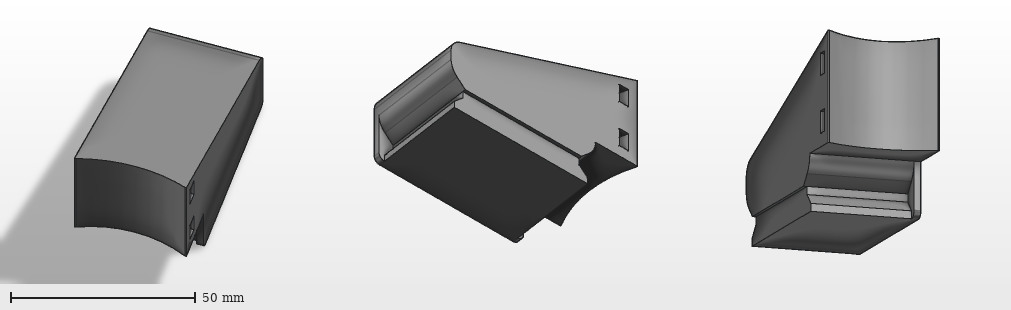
import cadquery as cq
import math

width = 32.0
length = 66.6
height = 46.75
top_slope = 20.0
back_radius = 5.0
overhang_z = 15.6

base_front = 14.9
shoulder_radius = 7.3
neck_inset = 5.05
foot_inset = 2.0
neck_top = 7.5
neck_bottom = 5.25
foot_top = neck_bottom - (neck_inset - foot_inset)
rail_start = 1.0
stop_thickness = 2.0
stop_radius = 2.0

edge_flat = 0.4
concave_depth = 3.4
slot_front = 3.1
slot_back = 6.4
slot_height = 6.2
slot_bottoms = (19.4, 35.4)

half_chord = width / 2 - edge_flat
concave_radius = (half_chord**2 + concave_depth**2) / (2 * concave_depth)
axis_y = concave_depth - concave_radius


def extrude_along_x(profile, start, end):
    """Extrude a (Y, Z) profile between two X positions."""
    return profile.extrude(end - start).translate((start, 0, 0))


def upper_body():
    """Wedge with a rounded back and shoulders curving in to the neck."""
    back_top = height - length * math.tan(math.radians(top_slope))
    diagonal = math.radians(45)
    round_inset = shoulder_radius * (1 - math.cos(diagonal))
    round_end_z = overhang_z - shoulder_radius * math.sin(diagonal)
    mid_inset = shoulder_radius * (1 - math.cos(diagonal / 2))
    mid_z = overhang_z - shoulder_radius * math.sin(diagonal / 2)
    profile = (
        cq.Workplane("YZ")
        .moveTo(0, overhang_z)
        .lineTo(0, height)
        .lineTo(length, back_top)
        .lineTo(length, overhang_z)
        .threePointArc((length - mid_inset, mid_z), (length - round_inset, round_end_z))
        .lineTo(length - neck_inset, neck_top)
        .lineTo(base_front + neck_inset, neck_top)
        .lineTo(base_front + round_inset, round_end_z)
        .threePointArc((base_front + mid_inset, mid_z), (base_front, overhang_z))
        .close()
    )
    body = extrude_along_x(profile, 0, width)
    back_edge = cq.selectors.NearestToPointSelector((width / 2, length, back_top))
    return body.edges(back_edge).fillet(back_radius)


def rail():
    """Narrow neck widening through 45 degree flanks to the foot."""
    profile = cq.Workplane("YZ").polyline([
        (base_front + neck_inset, neck_top),
        (length - neck_inset, neck_top),
        (length - neck_inset, neck_bottom),
        (length - foot_inset, foot_top),
        (length - foot_inset, 0),
        (base_front + foot_inset, 0),
        (base_front + foot_inset, foot_top),
        (base_front + neck_inset, neck_bottom),
    ]).close()
    return extrude_along_x(profile, rail_start, width)


def end_stop():
    """Plate closing the right end of the rail, rounded at its lower corners."""
    return (
        cq.Workplane("XY")
        .box(stop_thickness, length - base_front, overhang_z, centered=False)
        .edges("|X and <Z")
        .fillet(stop_radius)
        .translate((width - stop_thickness, base_front, 0))
    )


def upright_cylinder(radius, bottom, cylinder_height):
    """Cylinder on the vertical axis of the concave front."""
    return (
        cq.Workplane("XY", origin=(width / 2, axis_y, bottom))
        .circle(radius)
        .extrude(cylinder_height)
    )


def strap_channel(bottom):
    """Through channel curving concentrically behind the concave front."""
    inner_radius = math.hypot(width / 2, slot_front - axis_y)
    outer_radius = math.hypot(width / 2, slot_back - axis_y)
    outer = upright_cylinder(outer_radius, bottom, slot_height)
    return outer.cut(upright_cylinder(inner_radius, bottom, slot_height))


result = upper_body().union(rail()).union(end_stop())
result = result.cut(upright_cylinder(concave_radius, 0, height))
for slot_bottom in slot_bottoms:
    result = result.cut(strap_channel(slot_bottom))